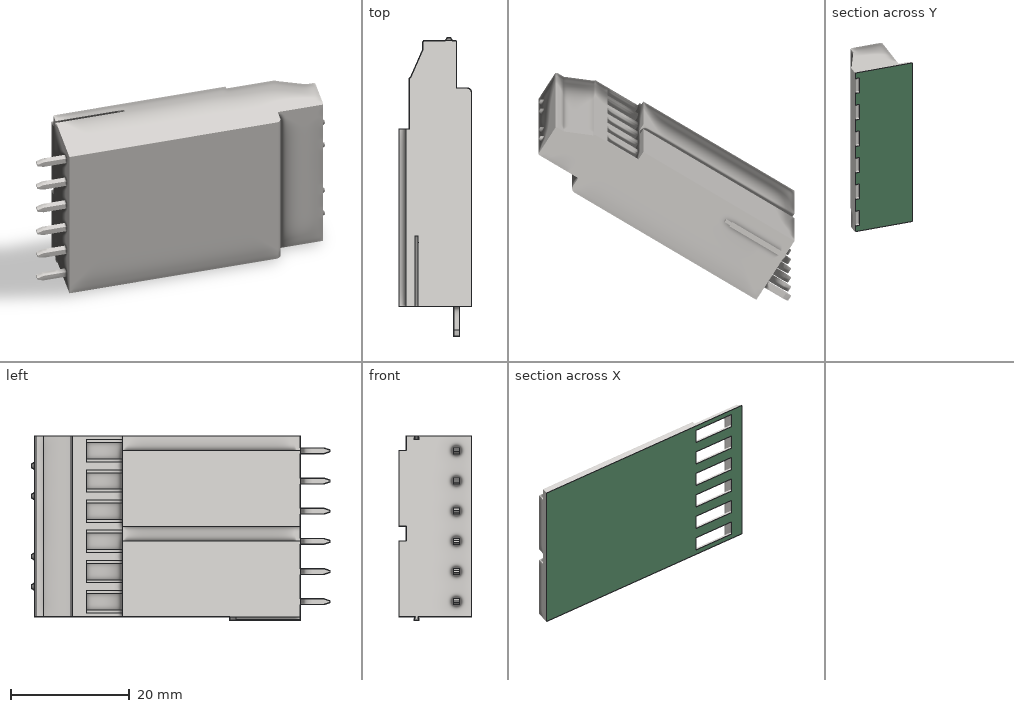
import cadquery as cq

POLE_COUNT = 6
PITCH = 5.1
POLES_PER_MODULE = 3
POLE_CENTRES = [(i + 0.5) * PITCH for i in range(POLE_COUNT)]

HEIGHT = POLE_COUNT * PITCH
WIDTH = 12.2
PIN_LENGTH = 5.05
BUMP_HEIGHT = 0.5
OVERALL_LENGTH = 50.3
BODY_LENGTH = OVERALL_LENGTH - PIN_LENGTH - BUMP_HEIGHT
LEDGE_Y = 29.95
LEDGE_X = 1.7
SLOPE_Y = 38.4
SLOPE_LENGTH = 4.85
NOSE_X = 3.95
NOSE_BEVEL_LENGTH = 0.3
NOSE_BEVEL_WIDTH = 0.15
SLOPE_FOOT_BEVEL = 0.25
NOSE_RIGHT_X = 9.7
NOSE_RIGHT_RADIUS = 0.2
SHOULDER_Y = 36.8
SHOULDER_RADIUS = 0.8

NOTCH_DEPTH = 1.2
NOTCH_HEIGHT = 2.45

WINDOW_LENGTH = 6.05
WINDOW_HEIGHT = 3.75
WINDOW_DEPTH = 0.2
WINDOW_INNER_HEIGHT = 2.75
WINDOW_INNER_DEPTH = 0.8
WINDOW_UNDERCUT = 1.0

RAIL_X = 2.95
RAIL_LENGTH = 11.85
RAIL_DEPTH = 0.6
RAIL_NECK_WIDTH = 0.45
RAIL_HEAD_WIDTH = 0.85
RAIL_HEAD_DEPTH = 0.15
RAIL_TAIL_LENGTH = 1.05

PIN_X = 9.7
PIN_WIDTH = 1.0
PIN_TIP_LENGTH = 1.05
PIN_TIP_HEIGHT = 0.3

BUMP_X = 8.4
BUMP_BASE_RADIUS = 0.6
BUMP_TOP_RADIUS = 0.3
BUMP_CENTRES = [i * PITCH for i in (1, 2, 4, 5)]


def box(x_range, y_range, z_range):
    """Axis-aligned block between the given (low, high) limits."""
    (x0, x1), (y0, y1), (z0, z1) = x_range, y_range, z_range
    return cq.Workplane("XY").box(x1 - x0, y1 - y0, z1 - z0, centered=False).translate((x0, y0, z0))


def around(centre, size):
    """Limits of a span of the given size about its centre."""
    return (centre - size / 2, centre + size / 2)


def housing():
    outline = [
        (0, 0),
        (WIDTH, 0),
        (WIDTH, SHOULDER_Y),
        (NOSE_RIGHT_X, SHOULDER_Y),
        (NOSE_RIGHT_X, BODY_LENGTH),
        (NOSE_X + NOSE_BEVEL_WIDTH, BODY_LENGTH),
        (NOSE_X, BODY_LENGTH - NOSE_BEVEL_LENGTH),
        (NOSE_X, SLOPE_Y + SLOPE_LENGTH),
        (LEDGE_X + SLOPE_FOOT_BEVEL, SLOPE_Y + SLOPE_FOOT_BEVEL),
        (LEDGE_X, SLOPE_Y),
        (LEDGE_X, LEDGE_Y),
        (0, LEDGE_Y),
    ]
    body = cq.Workplane("XY").polyline(outline).close().extrude(HEIGHT)
    shoulder_edge = cq.selectors.NearestToPointSelector((WIDTH, SHOULDER_Y, HEIGHT / 2))
    nose_edge = cq.selectors.NearestToPointSelector((NOSE_RIGHT_X, BODY_LENGTH, HEIGHT / 2))
    body = body.edges(shoulder_edge).fillet(SHOULDER_RADIUS)
    return body.edges(nose_edge).fillet(NOSE_RIGHT_RADIUS)


def notch(module):
    """Cutter at the top end of a module, modules counted from the top."""
    top = HEIGHT - module * POLES_PER_MODULE * PITCH
    return box((0, NOTCH_DEPTH), (0, LEDGE_Y), (top - NOTCH_HEIGHT, top))


def window(z):
    """Shallow recess with a deeper pocket in its floor that undercuts its back edge."""
    back_y = LEDGE_Y + WINDOW_LENGTH
    floor_x = LEDGE_X + WINDOW_DEPTH
    pocket_floor_x = LEDGE_X + WINDOW_INNER_DEPTH
    outer = box((LEDGE_X, floor_x), (LEDGE_Y, back_y), around(z, WINDOW_HEIGHT))
    pocket_length = (LEDGE_Y, back_y + WINDOW_UNDERCUT)
    inner = box((floor_x, pocket_floor_x), pocket_length, around(z, WINDOW_INNER_HEIGHT))
    return outer.union(inner)


def rail():
    """Bar hanging below z = 0 that widens downwards, with a plain narrow back end."""
    half_neck = RAIL_NECK_WIDTH / 2
    half_head = RAIL_HEAD_WIDTH / 2
    head_top = RAIL_HEAD_DEPTH - RAIL_DEPTH
    section = [
        (-half_neck, 0),
        (-half_head, head_top),
        (-half_head, -RAIL_DEPTH),
        (half_head, -RAIL_DEPTH),
        (half_head, head_top),
        (half_neck, 0),
    ]
    dovetail = cq.Workplane("XZ").polyline(section).close().extrude(RAIL_TAIL_LENGTH - RAIL_LENGTH)
    bar = box(around(RAIL_X, RAIL_NECK_WIDTH), (0, RAIL_LENGTH), (-RAIL_DEPTH, 0))
    return bar.union(dovetail.translate((RAIL_X, 0, 0)))


def pin(z):
    half_height = PIN_WIDTH / 2
    half_tip = PIN_TIP_HEIGHT / 2
    shoulder_y = PIN_TIP_LENGTH - PIN_LENGTH
    side = [
        (0, z - half_height),
        (0, z + half_height),
        (shoulder_y, z + half_height),
        (-PIN_LENGTH, z + half_tip),
        (-PIN_LENGTH, z - half_tip),
        (shoulder_y, z - half_height),
    ]
    blade = cq.Workplane("YZ").polyline(side).close().extrude(PIN_WIDTH)
    return blade.translate((PIN_X - PIN_WIDTH / 2, 0, 0))


def bump(z):
    base = cq.Vector(BUMP_X, BODY_LENGTH, z)
    outward = cq.Vector(0, 1, 0)
    cone = cq.Solid.makeCone(BUMP_BASE_RADIUS, BUMP_TOP_RADIUS, BUMP_HEIGHT, base, outward)
    return cq.Workplane(cone)


result = housing()
for module in range(POLE_COUNT // POLES_PER_MODULE):
    result = result.cut(notch(module))
result = result.cut(rail().translate((0, 0, HEIGHT)))
result = result.union(rail())
for pole_z in POLE_CENTRES:
    result = result.cut(window(pole_z)).union(pin(pole_z))
for bump_z in BUMP_CENTRES:
    result = result.union(bump(bump_z))